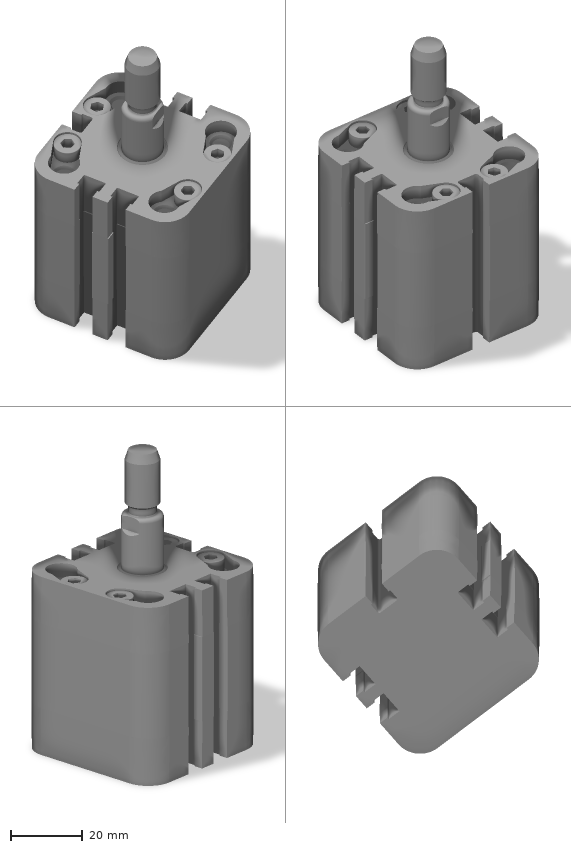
import cadquery as cq
import math

SIDE = 49.0
TOTAL_HEIGHT = 89.5
BLOCK_HEIGHT = 53.9
REAR_COVER_HEIGHT = 14.3
FRONT_COVER_HEIGHT = 14.05
CORNER_RADIUS = 8.0
COVER_INSET = 0.13

HALF_SIDE = SIDE / 2
BARREL_TOP = BLOCK_HEIGHT - FRONT_COVER_HEIGHT

SLOT_MOUTH_OUTER = 8.2
SLOT_CHAMBER_INNER = 1.8
SLOT_CHAMBER_OUTER = 8.9
SLOT_FLOOR_DEPTH = 6.4
SLOT_LIP_DEPTH = 3.1
BARREL_RIB_HALF_WIDTH = 2.7
RIB_INSET = 0.3
LIP_FILLET = 0.3

SIDE_SLOT_MOUTH_HALF = 2.95
SIDE_SLOT_CHAMBER_HALF = 3.5
SIDE_SLOT_LIP_DEPTH = 3.1
SIDE_SLOT_FLOOR_DEPTH = 6.7
SIDE_SLOT_CORNER_FILLET = 0.7

SEAT_OFFSET = 16.2
SEAT_BOTTOM_DIAMETER = 4.9
SEAT_RIM_DIAMETER = 6.35
SEAT_POCKET_DIAMETER = 9.0
POCKET_DEPTH = 4.3
SCREW_X = 19.4
SCREW_Y = 8.5
SCREW_POCKET_DIAMETER = 8.05
SCREW_HEAD_DIAMETER = 7.9
SCREW_HEAD_FILLET = 0.2
SCREW_HEAD_DEPTH = 0.5
HEXAGON_SIDES = 6
SOCKET_ACROSS_FLATS = 3.6
SOCKET_DEPTH = 3.1
CORNERS = [(-1, 1, -8), (1, 1, -4), (-1, -1, 24), (1, -1, 30)]

SEAL_LIP_DIAMETER = 12.5
SEAL_FLOOR_INNER_DIAMETER = 13.7
SEAL_FLOOR_OUTER_DIAMETER = 14.0
SEAL_RIM_DIAMETER = 14.3
SEAL_DEPTH = 0.3

ROD_DIAMETER = 12.0
ROD_SHOULDER = 70.5
ROD_ROUND = 1.2
STUD_DIAMETER = 10.0
STUD_BOTTOM = 73.6
STUD_TIP_DIAMETER = 8.1
STUD_TIP_HEIGHT = 2.8
NECK_DIAMETER = 8.05
NECK_END_DIAMETER = 8.6
NECK_FLARE = 0.3
NECK_TOP = 73.0
FLATS_WIDTH = 10.0
FLATS_BOTTOM = 66.2


def box(x_range, y_range, bottom, height):
    x0, x1 = sorted(x_range)
    y0, y1 = sorted(y_range)
    return cq.Workplane("XY").box(x1 - x0, y1 - y0, height, centered=False).translate((x0, y0, bottom))


def cut_slots(block, bottom, height, inset):
    """Cut the five T-slots; inset shrinks the rib and sinks the lips and floors of the paired slots."""
    rib_half = BARREL_RIB_HALF_WIDTH - inset
    lip = HALF_SIDE - SLOT_LIP_DEPTH + inset
    floor = HALF_SIDE - SLOT_FLOOR_DEPTH - inset
    for sx in (-1, 1):
        for sy in (-1, 1):
            mouth_x = (sx * rib_half, sx * SLOT_MOUTH_OUTER)
            chamber_x = (sx * SLOT_CHAMBER_INNER, sx * SLOT_CHAMBER_OUTER)
            block = block.cut(box(mouth_x, (sy * floor, sy * HALF_SIDE), bottom, height))
            block = block.cut(box(chamber_x, (sy * floor, sy * lip), bottom, height))

    side_floor = SIDE_SLOT_FLOOR_DEPTH - HALF_SIDE
    side_lip = SIDE_SLOT_LIP_DEPTH - HALF_SIDE
    mouth_y = (-SIDE_SLOT_MOUTH_HALF, SIDE_SLOT_MOUTH_HALF)
    chamber_y = (-SIDE_SLOT_CHAMBER_HALF, SIDE_SLOT_CHAMBER_HALF)
    chamber = box((side_lip, side_floor), chamber_y, bottom, height)
    chamber = chamber.edges("|Z and >X").fillet(SIDE_SLOT_CORNER_FILLET)
    return block.cut(box((-HALF_SIDE, side_lip), mouth_y, bottom, height)).cut(chamber)


def square_outline():
    return cq.Sketch().rect(SIDE, SIDE).vertices().fillet(CORNER_RADIUS)


def cover_blank(height):
    """Cover standing on Z = 0, leaning in towards its top, with the T-slots cut."""
    lean = math.degrees(math.atan(COVER_INSET / height))
    blank = cq.Workplane("XY").placeSketch(square_outline()).extrude(height, taper=lean)
    return cut_slots(blank, 0, height, RIB_INSET)


def make_rear_cover():
    return cover_blank(REAR_COVER_HEIGHT).mirror("XY").translate((0, 0, REAR_COVER_HEIGHT))


def make_barrel():
    height = BARREL_TOP - REAR_COVER_HEIGHT
    base = cq.Workplane("XY").workplane(offset=REAR_COVER_HEIGHT)
    barrel = base.placeSketch(square_outline()).extrude(height)
    barrel = cut_slots(barrel, REAR_COVER_HEIGHT, height, 0)

    lip = HALF_SIDE - SLOT_LIP_DEPTH
    rounded = [(-HALF_SIDE, -SIDE_SLOT_MOUTH_HALF), (-HALF_SIDE, SIDE_SLOT_MOUTH_HALF)]
    for sx in (-1, 1):
        for sy in (-1, 1):
            rounded.append((sx * BARREL_RIB_HALF_WIDTH, sy * HALF_SIDE))
            rounded.append((sx * BARREL_RIB_HALF_WIDTH, sy * lip))
            rounded.append((sx * SLOT_MOUTH_OUTER, sy * HALF_SIDE))
    middle = REAR_COVER_HEIGHT + height / 2
    for x, y in rounded:
        barrel = barrel.edges(cq.NearestToPointSelector((x, y, middle))).fillet(LIP_FILLET)
    return barrel


def cylinder(x, y, bottom, top, diameter):
    base = cq.Workplane("XY").workplane(offset=bottom).center(x, y)
    return base.circle(diameter / 2).extrude(top - bottom)


def conical_seat(x, y, top):
    """Shallow conical seat with a flat bottom and 45 degree sides."""
    depth = (SEAT_RIM_DIAMETER - SEAT_BOTTOM_DIAMETER) / 2
    cone = cq.Solid.makeCone(SEAT_BOTTOM_DIAMETER / 2, SEAT_RIM_DIAMETER / 2, depth)
    return cq.Workplane(cone).translate((x, y, top - depth))


def cut_corner_pocket(cover, sx, sy):
    """Cut one pocket with its conical seat."""
    seat_x, seat_y = sx * SEAT_OFFSET, sy * SEAT_OFFSET
    screw_x, screw_y = sx * SCREW_X, sy * SCREW_Y
    floor = BLOCK_HEIGHT - POCKET_DEPTH
    dx, dy = screw_x - seat_x, screw_y - seat_y
    channel_length = math.hypot(dx, dy) + SCREW_POCKET_DIAMETER
    channel_angle = math.degrees(math.atan2(dy, dx))
    channel = (
        cq.Workplane("XY")
        .workplane(offset=floor)
        .center((seat_x + screw_x) / 2, (seat_y + screw_y) / 2)
        .slot2D(channel_length, SCREW_POCKET_DIAMETER, channel_angle)
        .extrude(POCKET_DEPTH)
    )
    cover = cover.cut(channel)
    cover = cover.cut(cylinder(seat_x, seat_y, floor, BLOCK_HEIGHT, SEAT_POCKET_DIAMETER))
    return cover.cut(conical_seat(seat_x, seat_y, floor))


def add_screw_head(cover, sx, sy, socket_angle):
    """Raise a socket screw head from the pocket floor, as part of the cover."""
    x, y = sx * SCREW_X, sy * SCREW_Y
    top = BLOCK_HEIGHT - SCREW_HEAD_DEPTH
    across_corners = SOCKET_ACROSS_FLATS / math.cos(math.pi / HEXAGON_SIDES)
    socket = (
        cq.Workplane("XY")
        .polygon(HEXAGON_SIDES, across_corners)
        .extrude(SOCKET_DEPTH)
        .rotate((0, 0, 0), (0, 0, 1), socket_angle)
        .translate((x, y, top - SOCKET_DEPTH))
    )
    head = cylinder(x, y, BLOCK_HEIGHT - POCKET_DEPTH, top, SCREW_HEAD_DIAMETER)
    head = head.faces(">Z").edges().fillet(SCREW_HEAD_FILLET)
    return cover.union(head.cut(socket))


def seal_groove():
    """Shallow ring around the rod, with both walls sloping."""
    floor = BLOCK_HEIGHT - SEAL_DEPTH
    return (
        cq.Workplane("XZ")
        .moveTo(SEAL_LIP_DIAMETER / 2, BLOCK_HEIGHT)
        .lineTo(SEAL_FLOOR_INNER_DIAMETER / 2, floor)
        .lineTo(SEAL_FLOOR_OUTER_DIAMETER / 2, floor)
        .lineTo(SEAL_RIM_DIAMETER / 2, BLOCK_HEIGHT)
        .close()
        .revolve(360, (0, 0, 0), (0, 1, 0))
    )


def make_front_cover():
    cover = cover_blank(FRONT_COVER_HEIGHT).translate((0, 0, BARREL_TOP))
    for sx, sy, socket_angle in CORNERS:
        cover = cut_corner_pocket(cover, sx, sy)
        cover = add_screw_head(cover, sx, sy, socket_angle)
    cover = cover.cut(cylinder(0, 0, BARREL_TOP, BLOCK_HEIGHT, ROD_DIAMETER))
    return cover.cut(seal_groove())


def make_rod():
    """Rod standing on the barrel, with a rounded shoulder, a necked stud and two wrench flats."""
    rod_r = ROD_DIAMETER / 2
    stud_r = STUD_DIAMETER / 2
    neck_r = NECK_DIAMETER / 2
    neck_end_r = NECK_END_DIAMETER / 2
    bend = math.sqrt(0.5)
    round_mid = (rod_r - ROD_ROUND * (1 - bend), ROD_SHOULDER - ROD_ROUND * (1 - bend))
    rod = (
        cq.Workplane("XZ")
        .moveTo(0, BARREL_TOP)
        .lineTo(rod_r, BARREL_TOP)
        .lineTo(rod_r, ROD_SHOULDER - ROD_ROUND)
        .threePointArc(round_mid, (rod_r - ROD_ROUND, ROD_SHOULDER))
        .lineTo(neck_end_r, ROD_SHOULDER)
        .lineTo(neck_r, ROD_SHOULDER + NECK_FLARE)
        .lineTo(neck_r, NECK_TOP - NECK_FLARE)
        .lineTo(neck_end_r, NECK_TOP)
        .lineTo(stud_r, STUD_BOTTOM)
        .lineTo(stud_r, TOTAL_HEIGHT - STUD_TIP_HEIGHT)
        .lineTo(STUD_TIP_DIAMETER / 2, TOTAL_HEIGHT)
        .lineTo(0, TOTAL_HEIGHT)
        .close()
        .revolve(360, (0, 0, 0), (0, 1, 0))
    )

    flat_x = FLATS_WIDTH / 2
    slope = rod_r - flat_x
    flat_cut = (
        cq.Workplane("XZ")
        .moveTo(flat_x, FLATS_BOTTOM)
        .lineTo(rod_r, FLATS_BOTTOM - slope)
        .lineTo(rod_r, ROD_SHOULDER)
        .lineTo(flat_x, ROD_SHOULDER)
        .close()
        .extrude(rod_r, both=True)
    )
    return rod.cut(flat_cut).cut(flat_cut.mirror("YZ"))


rear_cover = make_rear_cover()
barrel = make_barrel()
front_cover = make_front_cover()
rod = make_rod()

result = cq.Compound.makeCompound([rear_cover.val(), barrel.val(), front_cover.val(), rod.val()])